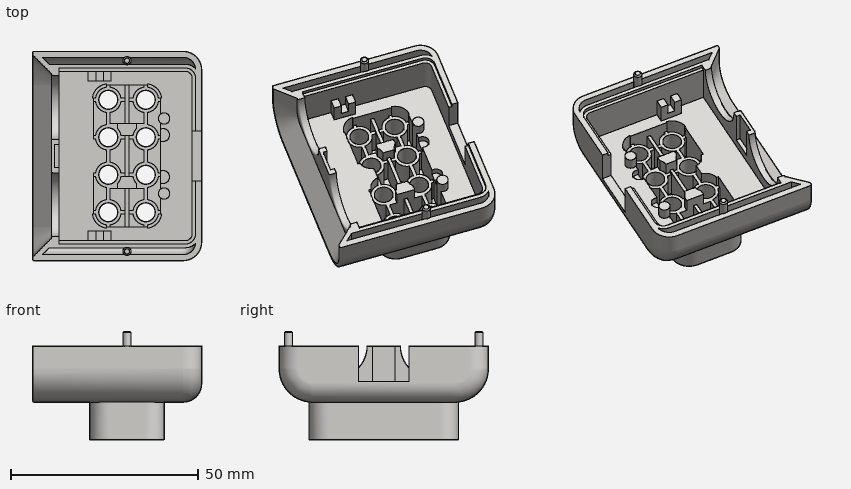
import cadquery as cq

body_width = 56.0
body_height = 15.0
front_x = -25.2
back_x = 20.0
bottom_radius = 9.0
back_radius = 5.0
edge_radius = 0.4

flare_depth = 5.0
flare_inner_inset = 6.0
flare_outer_inset = flare_inner_inset - flare_depth
end_wall_thickness = 2.0
end_wall_front_x = front_x + flare_depth
end_wall_back_x = end_wall_front_x + end_wall_thickness
scallop_radius = 8.5
scallop_y = 13.0
relief_width = 6.05
relief_depth = 1.1
relief_floor_z = 5.55

floor_z = 3.0
cavity_half_width = 22.6
cavity_back_x = 17.4
cavity_corner_radius = 1.8
ledge_width = 0.9
ledge_drop = 1.0
shell_thickness = 1.6
groove_wall_thickness = 1.0
groove_front_gap = 1.95
back_slot_width = 13.45
back_slot_floor_z = 5.55

block_length = 20.0
block_width = 40.0
block_depth = 10.0
block_corner_radius = 5.0
block_edge_radius = 0.2
block_overlap = floor_z / 2

pitch = 10.0
contact_xs = [-pitch / 2, pitch / 2]
contact_ys = [-1.5 * pitch, -0.5 * pitch, 0.5 * pitch, 1.5 * pitch]
contact_diameter = 5.0
ring_radius = 3.4
pocket_length = 18.05
pocket_width = 37.85
pocket_bottom_z = -8.0
pocket_corner_radius = 4.25
ring_top_z = -0.5
rib_thickness = 0.95
spine_top_z = 0.35
key_width = 5.05
key_near_y = 5.45
key_far_y = 8.7
key_top_z = 3.35

post_radius = 1.5
post_x = 9.9
post_y = 10.0
post_top_z = 6.3
bite_radius = 1.75
bite_x = 9.65
bite_y = 5.6
bite_floor_z = 1.1
clip_length = 6.05
clip_center_x = -7.35
clip_reach = 2.5
clip_top_z = 8.5
clip_slot_floor_z = 5.1
pin_diameter = 2.2
pin_height = 4.0
pin_y = 25.5
pin_base_z = 4.25
pin_chamfer = 0.4


def box_between(x0, x1, y0, y1, z0, z1):
    return cq.Workplane("XY").box(x1 - x0, y1 - y0, z1 - z0, centered=False).translate((x0, y0, z0))


def cylinder(x, y, radius, z0, z1):
    return cq.Workplane("XY", origin=(x, y, z0)).circle(radius).extrude(z1 - z0)


def section(x, inset):
    """U-shaped cross-section of the body at X = x, with its sides and bottom moved in by inset."""
    half = body_width / 2 - inset
    radius = bottom_radius - inset
    diagonal = radius * 0.5 ** 0.5
    arc_y = half - radius
    arc_z = inset + radius
    return (
        cq.Workplane("YZ", origin=(x, 0, 0))
        .moveTo(-half, body_height)
        .lineTo(-half, arc_z)
        .threePointArc((-arc_y - diagonal, arc_z - diagonal), (-arc_y, inset))
        .lineTo(arc_y, inset)
        .threePointArc((arc_y + diagonal, arc_z - diagonal), (half, arc_z))
        .lineTo(half, body_height)
        .close()
    )


def body_solid(inset):
    """Solid body with rounded +X end, moved in by inset on the sides, bottom and +X end."""
    solid = section(front_x, inset).extrude(back_x - inset - front_x)
    rounded = solid.faces(">X").edges("not >Z")
    return rounded.fillet(back_radius - inset)


def cavity_prism(growth, bottom_z):
    """Upright prism of the cavity outline, grown by growth on the sides and the +X end."""
    half = cavity_half_width + growth
    prism = box_between(end_wall_back_x, cavity_back_x + growth, -half, half, bottom_z, body_height)
    return prism.edges("|Z and >X").fillet(cavity_corner_radius + growth)


def flare_cutter():
    outer = section(front_x, flare_outer_inset).wires().val()
    inner = section(end_wall_front_x, flare_inner_inset).wires().val()
    return cq.Workplane(cq.Solid.makeLoft([outer, inner], True))


def scallop_cutter(y):
    """Half-round opening through the end wall, with a rounded lip on the flare side."""
    lip_x = end_wall_front_x + edge_radius
    lip_radius = scallop_radius + edge_radius
    diagonal = edge_radius * 0.5 ** 0.5
    return (
        cq.Workplane("XY", origin=(0, y, body_height))
        .moveTo(front_x, 0)
        .lineTo(front_x, lip_radius)
        .lineTo(end_wall_front_x, lip_radius)
        .threePointArc((lip_x - diagonal, lip_radius - diagonal), (lip_x, scallop_radius))
        .lineTo(end_wall_back_x, scallop_radius)
        .lineTo(end_wall_back_x, 0)
        .close()
        .revolve(360, (0, 0, 0), (1, 0, 0))
    )


def groove_cutter():
    """Deep gap between the outer shell and the cavity wall, ending in a slant beside the flare."""
    slant_x = front_x + groove_front_gap
    slant_y = body_width / 2 - flare_outer_inset
    wedge = (
        cq.Workplane("XY")
        .polyline([(slant_x, slant_y), (back_x, slant_y), (back_x, 0), (slant_x + slant_y, 0)])
        .close()
        .extrude(body_height)
    )
    wedges = wedge.union(wedge.mirror("XZ"))
    inner_half = cavity_half_width + ledge_width + groove_wall_thickness
    inner_back_x = cavity_back_x + ledge_width + groove_wall_thickness
    inner_wall = box_between(front_x, inner_back_x, -inner_half, inner_half, 0, body_height)
    inner_radius = cavity_corner_radius + ledge_width + groove_wall_thickness
    inner_wall = inner_wall.edges("|Z and >X").fillet(inner_radius)
    return body_solid(shell_thickness).cut(inner_wall).intersect(wedges)


def make_tray():
    tray = body_solid(0)
    tray = tray.faces("<X").edges("not >Z").fillet(edge_radius)
    tray = tray.cut(flare_cutter())
    tray = tray.cut(cavity_prism(0, floor_z))
    tray = tray.cut(cavity_prism(ledge_width, body_height - ledge_drop))
    tray = tray.cut(groove_cutter())
    for side in (-1, 1):
        tray = tray.cut(scallop_cutter(side * scallop_y))
    relief_x = end_wall_back_x - relief_depth
    half_relief = relief_width / 2
    half_slot = back_slot_width / 2
    relief = box_between(
        relief_x, end_wall_back_x, -half_relief, half_relief, relief_floor_z, body_height
    )
    tray = tray.cut(relief)
    tray = tray.cut(box_between(0, back_x, -half_slot, half_slot, back_slot_floor_z, body_height))
    return tray


def make_connector_block():
    """Rounded block whose top is buried in the tray floor."""
    height = block_depth + block_overlap
    block = cq.Workplane("XY", origin=(0, 0, -block_depth)).rect(block_length, block_width).extrude(height)
    block = block.edges("|Z").fillet(block_corner_radius)
    return block.faces("<Z").edges().fillet(block_edge_radius)


def make_post(side):
    return cylinder(post_x, side * post_y, post_radius, pocket_bottom_z, post_top_z)


def make_pocket():
    """Pocket with corners rounded about the corner contacts, leaving the post columns standing."""
    half_x = pocket_length / 2
    half_y = pocket_width / 2
    straight_x = contact_xs[-1] + rib_thickness / 2
    straight_y = contact_ys[-1] + rib_thickness / 2
    pocket = box_between(-half_x, half_x, -straight_y, straight_y, pocket_bottom_z, floor_z)
    pocket = pocket.union(
        box_between(-straight_x, straight_x, -half_y, half_y, pocket_bottom_z, floor_z)
    )
    reach = pocket_corner_radius
    for x_side in (-1, 1):
        for y_side in (-1, 1):
            x0, x1 = sorted((x_side * straight_x, x_side * (straight_x + reach)))
            y0, y1 = sorted((y_side * straight_y, y_side * (straight_y + reach)))
            quadrant = box_between(x0, x1, y0, y1, pocket_bottom_z, floor_z)
            corner = cylinder(
                x_side * contact_xs[-1], y_side * contact_ys[-1], reach, pocket_bottom_z, floor_z
            )
            pocket = pocket.union(corner.intersect(quadrant))
    for side in (-1, 1):
        pocket = pocket.cut(make_post(side))
    return pocket


def make_ring_columns(ys, z0, z1):
    """Round columns of the ring diameter around both contacts in each of the rows at ys."""
    centers = [(x, y) for x in contact_xs for y in ys]
    return cq.Workplane("XY", origin=(0, 0, z0)).pushPoints(centers).circle(ring_radius).extrude(z1 - z0)


def make_pocket_lattice():
    """Rings, ribs, central spine, keys and the raised filler standing in the pocket."""
    half_x = pocket_length / 2
    half_y = pocket_width / 2
    half_rib = rib_thickness / 2
    contact_x = contact_xs[-1]
    lattice = make_ring_columns(contact_ys, pocket_bottom_z, ring_top_z)
    for x in contact_xs:
        rib = box_between(x - half_rib, x + half_rib, -half_y, half_y, pocket_bottom_z, ring_top_z)
        lattice = lattice.union(rib)
    for y in contact_ys:
        rib = box_between(-half_x, half_x, y - half_rib, y + half_rib, pocket_bottom_z, ring_top_z)
        lattice = lattice.union(rib)
    spine = box_between(-half_rib, half_rib, -half_y, half_y, pocket_bottom_z, spine_top_z)
    lattice = lattice.union(spine)

    ring_clearance = make_ring_columns(contact_ys[1:3], ring_top_z, key_top_z)
    half_key = key_width / 2
    for side in (-1, 1):
        y0, y1 = sorted((side * key_near_y, side * key_far_y))
        web = box_between(-contact_x, contact_x, y0, y1, pocket_bottom_z, ring_top_z)
        key = box_between(-half_key, half_key, y0, y1, pocket_bottom_z, key_top_z)
        lattice = lattice.union(web).union(key.cut(ring_clearance))

    filler_y = contact_ys[2] - half_rib
    filler = box_between(-half_x, -contact_x - half_rib, -filler_y, filler_y, pocket_bottom_z, floor_z)
    return lattice.union(filler.cut(ring_clearance))


def make_clip(side):
    """U-shaped clip standing on the floor against a side wall."""
    x0 = clip_center_x - clip_length / 2
    third = clip_length / 3
    y0, y1 = sorted((side * (cavity_half_width - clip_reach), side * cavity_half_width))
    clip = box_between(x0, x0 + clip_length, y0, y1, floor_z, clip_top_z)
    return clip.cut(box_between(x0 + third, x0 + 2 * third, y0, y1, clip_slot_floor_z, clip_top_z))


def make_pin(side):
    pin = cylinder(0, side * pin_y, pin_diameter / 2, pin_base_z, body_height + pin_height)
    return pin.faces(">Z").chamfer(pin_chamfer)


part = make_tray().union(make_connector_block())
part = part.cut(make_pocket())
for side in (-1, 1):
    part = part.cut(cylinder(bite_x, side * bite_y, bite_radius, bite_floor_z, floor_z))
part = part.union(make_pocket_lattice())

for side in (-1, 1):
    part = part.union(cylinder(post_x, side * post_y, post_radius, floor_z, post_top_z))
    part = part.union(make_clip(side))
    part = part.union(make_pin(side))

for x in contact_xs:
    for y in contact_ys:
        part = part.cut(cylinder(x, y, contact_diameter / 2, -block_depth, floor_z))

result = part